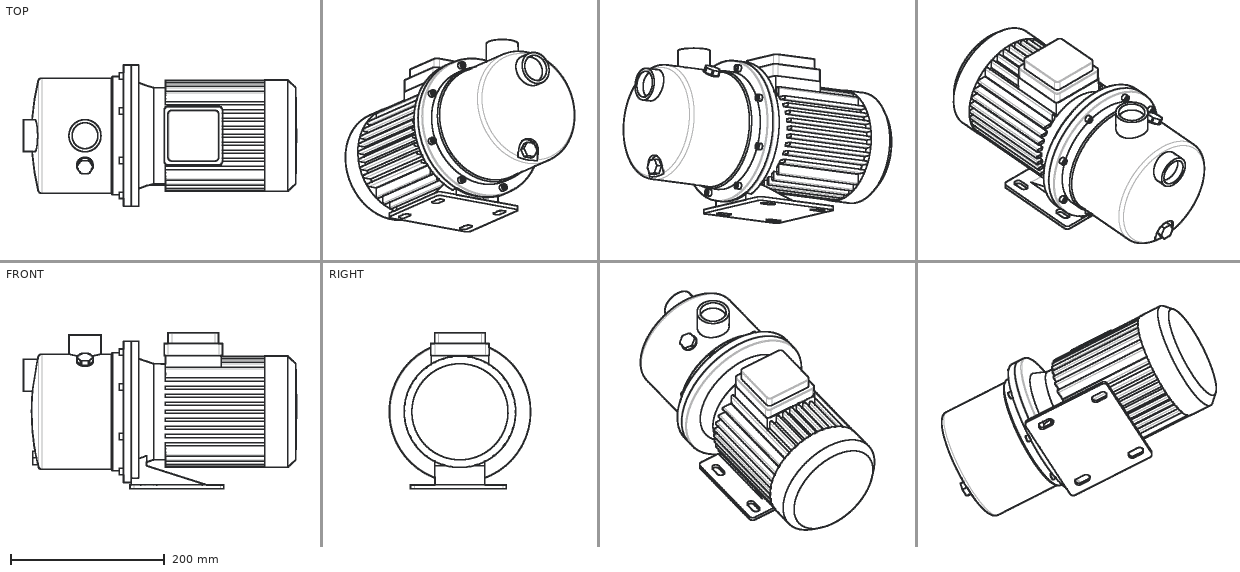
import cadquery as cq
import math


suction_face_x = -140.0
dome_apex_x = -129.5
dome_radius = 300.0
shell_radius = 150.0 / 2
shell_corner_radius = 5.0
collar_radius = 154.0 / 2
collar_start_x = -24.0
collar_taper_length = 2.0
flange_radius = 184.0 / 2
flange_thickness = 10.0
flange_edge_radius = 1.0

port_radius = 41.7 / 2
port_bore_radius = 33.7 / 2
port_bore_depth = 10.0
suction_z = 47.5
discharge_x = -60.0
discharge_top_z = 100.0

bolt_count = 8
bolt_circle_radius = 84.0
bolt_head_radius = 8.5 / 2
bolt_head_height = 5.5
bolt_socket_diameter = 5.0
bolt_socket_depth = 3.0

fill_plug_tilt = 30.0
fill_plug_diameter = 21.0
fill_plug_flats = 19.0
fill_plug_collar_radius = 75.5
fill_plug_top_radius = 82.0
drain_plug_corner_diameter = 20.8
drain_plug_z = -60.0
drain_plug_face_x = -128.0
drain_pocket_radius = 15.0
drain_pocket_floor_x = -120.5

cone_base_radius = 69.0
cone_end_x = 29.5
frame_radius = 125.0 / 2

foot_bottom_z = -100.0
plate_thickness = 5.0
plate_start_x = -1.5
plate_length = 122.0
plate_width = 125.0
plate_centre_y = -2.0
plate_corner_radius = 5.0
slot_width = 10.0
slot_length = 21.0
slot_first_x = 23.0
slot_pitch_x = 80.0
slot_spacing_y = 95.0
upright_width = 65.0
upright_thickness = 20.0
rib_top_z = -70.0
rib_end_x = 98.5

fin_start_x = 44.5
fin_end_x = 173.5
fin_tip_radius = 72.0
fin_thickness = 4.0
fin_pitch = 10.5
fins_each_side = 4

cover_radius = 145.0 / 2
cover_bevel_x = 203.5
cover_end_x = 214.0
cover_end_radius = frame_radius
cover_apex_x = 215.0

pedestal_length = 72.5
pedestal_width = 75.0
box_size = 76.0
box_bottom_z = 73.0
box_top_z = 89.0
lid_size = 66.0
lid_top_z = 103.0
box_corner_radius = 5.0
box_edge_radius = 1.0


def disc(start_x, end_x, radius):
    """A cylinder on the shaft axis."""
    return cq.Workplane("YZ").workplane(offset=start_x).circle(radius).extrude(end_x - start_x)


def flange(start_x):
    """A round flange with softened rims."""
    plain = disc(start_x, start_x + flange_thickness, flange_radius)
    return plain.edges().fillet(flange_edge_radius)


def dome_x(radius):
    """Position of the domed casing end at a distance from the shaft axis."""
    return dome_apex_x + dome_radius - math.sqrt(dome_radius**2 - radius**2)


def shell():
    """The domed casing shell with its collar."""
    taper_start_x = collar_start_x - collar_taper_length
    profile = (
        cq.Workplane("XZ")
        .moveTo(dome_apex_x, 0)
        .threePointArc((dome_x(shell_radius / 2), shell_radius / 2), (dome_x(shell_radius), shell_radius))
        .lineTo(taper_start_x, shell_radius)
        .lineTo(collar_start_x, collar_radius)
        .lineTo(-flange_thickness, collar_radius)
        .lineTo(-flange_thickness, 0)
        .close()
    )
    body = profile.revolve(360, (0, 0, 0), (1, 0, 0))
    return body.faces("<X").edges().fillet(shell_corner_radius)


def bolt_heads():
    """Socket-head bolts formed on the casing flange, and the sockets to cut in them."""
    ring = (
        cq.Workplane("YZ")
        .workplane(offset=-flange_thickness - bolt_head_height)
        .polarArray(bolt_circle_radius, 180 / bolt_count, 360, bolt_count)
    )
    heads = ring.circle(bolt_head_radius).extrude(bolt_head_height + flange_thickness / 2)
    sockets = ring.polygon(6, bolt_socket_diameter).extrude(bolt_socket_depth)
    return heads, sockets


def make_casing():
    body = shell().union(flange(-flange_thickness))

    suction = cq.Workplane("YZ", origin=(suction_face_x, 0, suction_z))
    discharge = cq.Workplane("XY", origin=(discharge_x, 0, discharge_top_z))
    body = body.union(suction.circle(port_radius).extrude(-suction_face_x + collar_start_x))
    body = body.union(discharge.circle(port_radius).extrude(-discharge_top_z))
    body = body.cut(suction.circle(port_bore_radius).extrude(port_bore_depth))
    body = body.cut(discharge.circle(port_bore_radius).extrude(-port_bore_depth))

    pocket = cq.Workplane("YZ", origin=(suction_face_x, 0, drain_plug_z))
    pocket_depth = drain_pocket_floor_x - suction_face_x
    arch = pocket.circle(drain_pocket_radius).extrude(pocket_depth)
    skirt = (
        pocket.center(0, -drain_pocket_radius)
        .rect(2 * drain_pocket_radius, 2 * drain_pocket_radius)
        .extrude(pocket_depth)
    )
    body = body.cut(arch.union(skirt))

    heads, sockets = bolt_heads()
    return body.union(heads).cut(sockets)


def make_fill_plug(casing):
    """Hexagonal plug leaning towards -Y, its underside shaped to the casing."""
    axis = cq.Workplane("XY", origin=(discharge_x, 0, 0))
    base_radius = shell_radius - shell_corner_radius
    collar = (
        axis.workplane(offset=base_radius)
        .circle(fill_plug_diameter / 2)
        .extrude(fill_plug_top_radius - base_radius)
    )
    hexagon = (
        axis.workplane(offset=fill_plug_collar_radius)
        .polygon(6, fill_plug_flats / math.cos(math.pi / 6))
        .extrude(fill_plug_top_radius - fill_plug_collar_radius)
    )
    below_hexagon = (
        axis.workplane(offset=base_radius)
        .circle(fill_plug_diameter)
        .extrude(fill_plug_collar_radius - base_radius)
    )
    plug = collar.intersect(hexagon.union(below_hexagon))
    return plug.rotate((0, 0, 0), (1, 0, 0), fill_plug_tilt).cut(casing)


def make_drain_plug():
    return (
        cq.Workplane("YZ", origin=(drain_plug_face_x, 0, drain_plug_z))
        .polygon(6, drain_plug_corner_diameter)
        .extrude(drain_pocket_floor_x - drain_plug_face_x)
    )


def make_adapter():
    """Flange and cone joining the casing to the motor frame."""
    cone = (
        cq.Workplane("XZ")
        .polyline(
            [
                (flange_thickness, 0),
                (flange_thickness, cone_base_radius),
                (cone_end_x, frame_radius),
                (cone_end_x, 0),
            ]
        )
        .close()
        .revolve(360, (0, 0, 0), (1, 0, 0))
    )
    return flange(0).union(cone)


def make_foot(adapter):
    """Slotted base plate with a ribbed upright that cradles the adapter."""
    plate_top_z = foot_bottom_z + plate_thickness
    plate = (
        cq.Workplane("XY", origin=(plate_start_x + plate_length / 2, plate_centre_y, foot_bottom_z))
        .rect(plate_length, plate_width)
        .extrude(plate_thickness)
        .edges("|Z")
        .fillet(plate_corner_radius)
    )
    slots = (
        cq.Workplane("XY", origin=(slot_first_x + slot_pitch_x / 2, plate_centre_y, foot_bottom_z))
        .rarray(slot_pitch_x, slot_spacing_y, 2, 2)
        .slot2D(slot_length, slot_width)
        .extrude(plate_thickness)
    )
    support = (
        cq.Workplane("XZ")
        .polyline(
            [
                (0, plate_top_z),
                (0, 0),
                (upright_thickness, 0),
                (upright_thickness, rib_top_z),
                (rib_end_x, plate_top_z),
            ]
        )
        .close()
        .extrude(upright_width / 2, both=True)
    )
    return plate.cut(slots).union(support.cut(adapter))


def fin(offset, angle):
    """A fin with a round tip, running out in +Z and then turned about the shaft axis."""
    round_radius = fin_thickness / 2
    round_z = math.sqrt((fin_tip_radius - round_radius) ** 2 - offset**2)
    return (
        cq.Workplane("YZ", origin=(fin_start_x, offset, 0))
        .moveTo(-round_radius, 0)
        .lineTo(-round_radius, round_z)
        .threePointArc((0, round_z + round_radius), (round_radius, round_z))
        .lineTo(round_radius, 0)
        .close()
        .extrude(fin_end_x - fin_start_x)
        .rotate((0, 0, 0), (1, 0, 0), angle)
    )


def make_motor_frame():
    frame = disc(cone_end_x, fin_end_x, frame_radius)
    for angle in (0, 90, 180, 270):
        for index in range(-fins_each_side, fins_each_side + 1):
            frame = frame.union(fin(index * fin_pitch, angle))
    pedestal = (
        cq.Workplane("XY", origin=(fin_start_x + pedestal_length / 2, 0, 0))
        .rect(pedestal_length, pedestal_width)
        .extrude(box_bottom_z)
    )
    return frame.union(pedestal)


def make_fan_cover():
    """Bevelled cover with a slightly domed end."""
    dome_rise = cover_apex_x - cover_end_x
    end_radius = (cover_end_radius**2 + dome_rise**2) / (2 * dome_rise)
    mid_radius = cover_end_radius / 2
    mid_x = cover_apex_x - end_radius + math.sqrt(end_radius**2 - mid_radius**2)
    return (
        cq.Workplane("XZ")
        .moveTo(fin_end_x, 0)
        .lineTo(fin_end_x, cover_radius)
        .lineTo(cover_bevel_x, cover_radius)
        .lineTo(cover_end_x, cover_end_radius)
        .threePointArc((mid_x, mid_radius), (cover_apex_x, 0))
        .close()
        .revolve(360, (0, 0, 0), (1, 0, 0))
    )


def rounded_block(size, bottom_z, top_z, rounded_faces):
    """A square block over the pedestal with rounded corners and softened rims."""
    return (
        cq.Workplane("XY", origin=(fin_start_x + pedestal_length / 2, 0, bottom_z))
        .rect(size, size)
        .extrude(top_z - bottom_z)
        .edges("|Z")
        .fillet(box_corner_radius)
        .faces(rounded_faces)
        .edges()
        .fillet(box_edge_radius)
    )


def make_terminal_box():
    base = rounded_block(box_size, box_bottom_z, box_top_z, "<Z or >Z")
    lid = rounded_block(lid_size, box_top_z, lid_top_z, ">Z")
    return base.union(lid)


casing = make_casing()
fill_plug = make_fill_plug(casing)
drain_plug = make_drain_plug()
adapter = make_adapter()
foot = make_foot(adapter)
motor_frame = make_motor_frame()
fan_cover = make_fan_cover()
terminal_box = make_terminal_box()

bodies = [casing, fill_plug, drain_plug, adapter, foot, motor_frame, fan_cover, terminal_box]
result = cq.Compound.makeCompound([body.solids().val() for body in bodies])